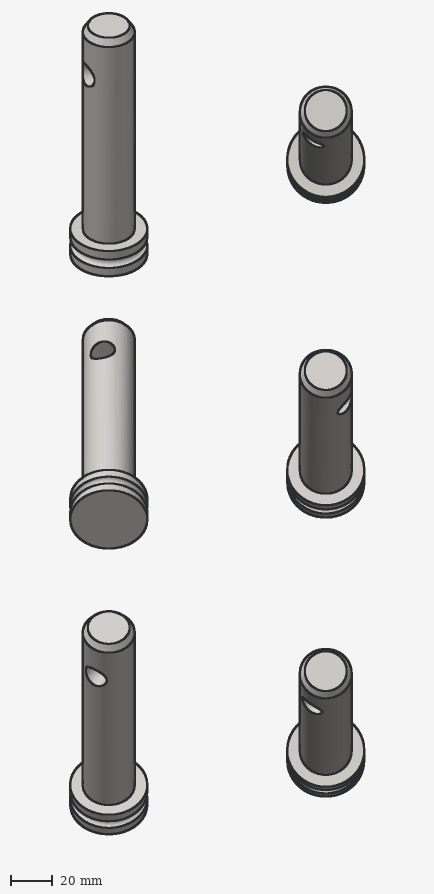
import cadquery as cq

total_length = 135.0
head_diameter = 37.0
head_height = 15.0
shank_diameter = 25.0

tip_height = 3.8
tip_inset = 2.4

groove_width = 5.0
groove_radius = groove_width / 2

hole_diameter = 12.0
hole_from_tip = 25.0


def make_head():
    head = cq.Workplane("XY").circle(head_diameter / 2).extrude(head_height)
    groove = (
        cq.Workplane("XZ")
        .center(head_diameter / 2, head_height / 2)
        .circle(groove_radius)
        .revolve(360, (-head_diameter / 2, 0), (-head_diameter / 2, 1))
    )
    return head.cut(groove)


def make_shank():
    shank = cq.Workplane("XY").circle(shank_diameter / 2).extrude(total_length)
    return shank.faces(">Z").edges().chamfer(tip_height, tip_inset)


def make_cross_hole():
    return (
        cq.Workplane("XZ")
        .center(0, total_length - hole_from_tip)
        .circle(hole_diameter / 2)
        .extrude(shank_diameter, both=True)
    )


result = make_head().union(make_shank()).cut(make_cross_hole())